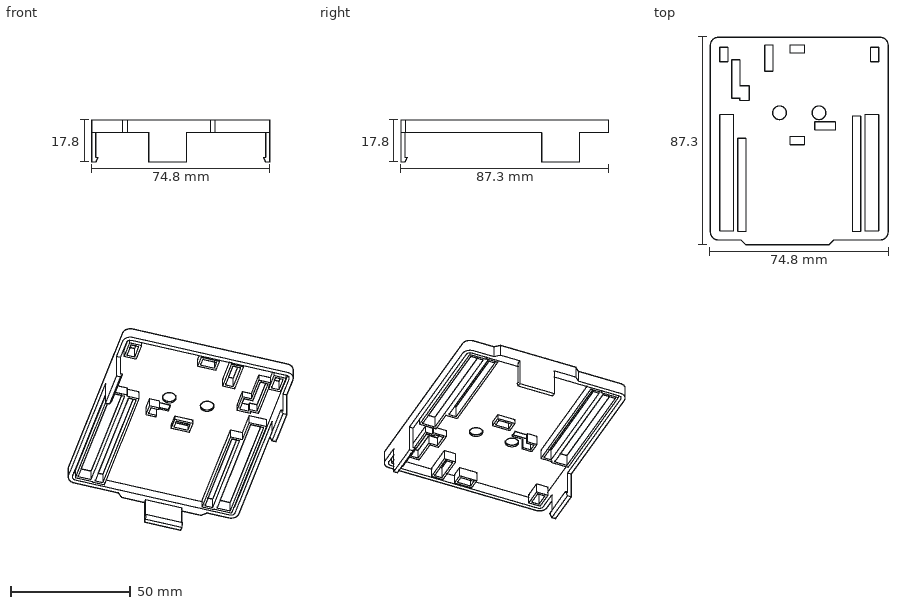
import cadquery as cq


plate_width = 74.8
total_depth = 87.3
total_height = 17.8
plate_thickness = 5.4
corner_radius = 3.5
web_thickness = 1.0
rim_width = 1.75

tab_depth = 2.0
tab_front_left = -22.4
tab_front_right = 12.5

leg_width = 16.0
leg_thickness = rim_width
leg_drop = total_height - plate_thickness
hook_height = 2.0
hook_reach = 1.0
front_leg_x = -5.5
side_leg_y = 67.1

sleeve_wall = 1.0
full_sleeve = plate_thickness
stepped_sleeve = 4.2
middle_sleeve = 3.05
slot_width = 3.3
short_slot_length = 6.0

slot_outer_x = 33.35
wide_slot_width = 5.7
wide_slot_length = 48.8
wide_slot_front = 5.9
narrow_slot_inner_x = 22.4
narrow_slot_front = 5.7
narrow_slot_left_length = 39.1
narrow_slot_right_length = 48.45
corner_slot_front = 77.0

stepped_slot_left = -28.3
stepped_slot_front = 61.7
stepped_slot_length = 16.0
stepped_block_front = 60.8
stepped_block_width = 3.9

rear_slot_end = 84.0
rear_long_slot_left = -14.4
rear_long_slot_length = 10.9

centre_slot_left = -3.8
middle_slot_front = 42.2

hole_slot_left = 6.55
hole_slot_front = 48.4
hole_slot_length = 8.6
hole_slot_sleeve_left = 11.7

hole_x = 8.3
hole_y = 55.5
hole_diameter = 5.7


def make_plate():
    """Rounded plate, hollow below, with the tab added on its front edge."""
    plate_depth = total_depth - tab_depth
    plate_centre_y = tab_depth + plate_depth / 2
    plate = (
        cq.Workplane("XY")
        .center(0, plate_centre_y)
        .rect(plate_width, plate_depth)
        .extrude(plate_thickness)
        .edges("|Z")
        .fillet(corner_radius)
    )
    hollow = (
        cq.Workplane("XY")
        .center(0, plate_centre_y)
        .rect(plate_width - 2 * rim_width, plate_depth - 2 * rim_width)
        .extrude(plate_thickness - web_thickness)
        .edges("|Z")
        .fillet(corner_radius - rim_width)
    )
    tab = (
        cq.Workplane("XY")
        .moveTo(tab_front_left, 0)
        .lineTo(tab_front_right, 0)
        .lineTo(tab_front_right + tab_depth, tab_depth)
        .lineTo(tab_front_left - tab_depth, tab_depth)
        .close()
        .extrude(plate_thickness)
    )
    return plate.cut(hollow).union(tab)


def make_leg():
    """Leg with its outer face on the YZ plane, its hook pointing to +X, centred on Y."""
    outline = [
        (0, 0),
        (leg_thickness, 0),
        (leg_thickness, hook_height - leg_drop),
        (leg_thickness + hook_reach, hook_height - leg_drop),
        (leg_thickness, -leg_drop),
        (0, -leg_drop),
    ]
    return cq.Workplane("XZ").polyline(outline).close().extrude(leg_width / 2, both=True)


def make_block(left, front, size_x, size_y, depth):
    """Block reaching down from the top of the plate."""
    return (
        cq.Workplane("XY")
        .box(size_x, size_y, depth, centered=False)
        .translate((left, front, plate_thickness - depth))
    )


def make_sleeve(left, front, size_x, size_y, depth):
    """Solid block around a slot, wider by the sleeve wall on every side."""
    return make_block(
        left - sleeve_wall,
        front - sleeve_wall,
        size_x + 2 * sleeve_wall,
        size_y + 2 * sleeve_wall,
        depth,
    )


slots = [
    (-slot_outer_x, corner_slot_front, slot_width, short_slot_length, full_sleeve),
    (slot_outer_x - slot_width, corner_slot_front, slot_width, short_slot_length, full_sleeve),
    (-slot_outer_x, wide_slot_front, wide_slot_width, wide_slot_length, full_sleeve),
    (slot_outer_x - wide_slot_width, wide_slot_front, wide_slot_width, wide_slot_length, full_sleeve),
    (
        -narrow_slot_inner_x - slot_width,
        narrow_slot_front,
        slot_width,
        narrow_slot_left_length,
        full_sleeve,
    ),
    (narrow_slot_inner_x, narrow_slot_front, slot_width, narrow_slot_right_length, full_sleeve),
    (stepped_slot_left, stepped_slot_front, slot_width, stepped_slot_length, stepped_sleeve),
    (
        stepped_slot_left + slot_width,
        stepped_block_front,
        stepped_block_width,
        short_slot_length,
        stepped_sleeve,
    ),
    (
        rear_long_slot_left,
        rear_slot_end - rear_long_slot_length,
        slot_width,
        rear_long_slot_length,
        full_sleeve,
    ),
    (centre_slot_left, rear_slot_end - slot_width, short_slot_length, slot_width, full_sleeve),
    (centre_slot_left, middle_slot_front, short_slot_length, slot_width, middle_sleeve),
]

result = make_plate()

leg = make_leg()
right_leg = leg.rotate((0, 0, 0), (0, 0, 1), 180)
front_leg = leg.rotate((0, 0, 0), (0, 0, 1), 90)
result = result.union(leg.translate((-plate_width / 2, side_leg_y, 0)))
result = result.union(right_leg.translate((plate_width / 2, side_leg_y, 0)))
result = result.union(front_leg.translate((front_leg_x, 0, 0)))

for slot in slots:
    result = result.union(make_sleeve(*slot))
hole_slot_right = hole_slot_left + hole_slot_length
hole_slot_sleeve = make_block(
    hole_slot_sleeve_left,
    hole_slot_front - sleeve_wall,
    hole_slot_right + sleeve_wall - hole_slot_sleeve_left,
    slot_width + 2 * sleeve_wall,
    full_sleeve,
)
result = result.union(hole_slot_sleeve)

for left, front, size_x, size_y, _ in slots:
    result = result.cut(make_block(left, front, size_x, size_y, plate_thickness))
result = result.cut(
    make_block(hole_slot_left, hole_slot_front, hole_slot_length, slot_width, plate_thickness)
)

holes = (
    cq.Workplane("XY")
    .pushPoints([(-hole_x, hole_y), (hole_x, hole_y)])
    .circle(hole_diameter / 2)
    .extrude(plate_thickness)
)
result = result.cut(holes)